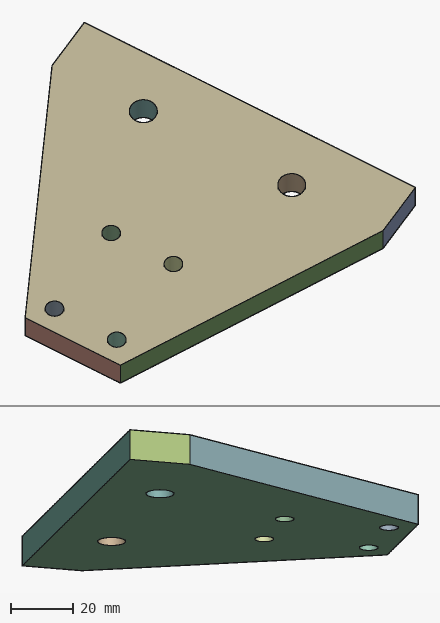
import cadquery as cq

width = 125.0
depth = 109.5
thickness = 10.0
tip_width = 36.0
straight_side = 20.0

large_diameter = 9.0
large_spacing = 56.0

small_diameter = 6.0
small_spacing_x = 23.5
small_spacing_y = 35.0
small_tip_offset = 8.0

back_y = depth / 2
tip_y = -depth / 2
shoulder_y = back_y - straight_side
small_center_y = tip_y + small_tip_offset + small_spacing_y / 2


def tapered_plate():
    """Flat plate with short parallel sides that taper to a narrow end."""
    outline = [
        (-width / 2, back_y),
        (width / 2, back_y),
        (width / 2, shoulder_y),
        (tip_width / 2, tip_y),
        (-tip_width / 2, tip_y),
        (-width / 2, shoulder_y),
    ]
    return cq.Workplane("XY").polyline(outline).close().extrude(thickness)


def hole_cutters(diameter, spacing_x, spacing_y, columns, rows, center_y):
    """Cylinders through the plate, in a grid centred on X = 0."""
    return (
        cq.Workplane("XY")
        .center(0, center_y)
        .rarray(spacing_x, spacing_y, columns, rows)
        .circle(diameter / 2)
        .extrude(thickness)
    )


large_holes = hole_cutters(large_diameter, large_spacing, large_spacing, 2, 1, shoulder_y)
small_holes = hole_cutters(small_diameter, small_spacing_x, small_spacing_y, 2, 2, small_center_y)

result = tapered_plate().cut(large_holes).cut(small_holes)